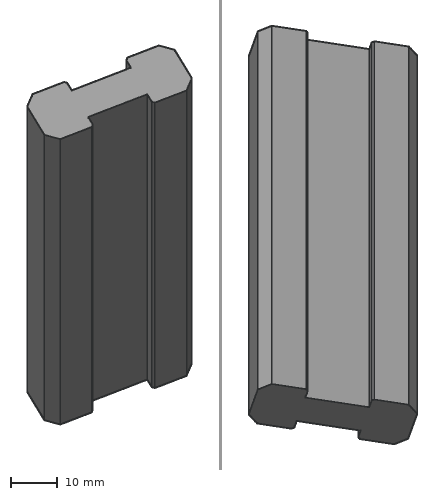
import cadquery as cq

width = 13.5
depth = 35.0
length = 100.0

edge_chamfer = 2.5
web_thickness = 8.0
groove_width = 14.0
mouth_chamfer = 0.5


def make_bar():
    """Upright bar with its four long outer edges chamfered."""
    return cq.Workplane("XY").box(width, depth, length).edges("|Z").chamfer(edge_chamfer)


def make_groove(side):
    """Full-length groove with a flared mouth in the -X (side=-1) or +X (side=1) face."""
    face_x = side * width / 2
    floor_x = side * web_thickness / 2
    flare_x = face_x - side * mouth_chamfer
    wall_y = groove_width / 2
    mouth_y = wall_y + mouth_chamfer
    section = [
        (floor_x, -wall_y),
        (flare_x, -wall_y),
        (face_x, -mouth_y),
        (face_x, mouth_y),
        (flare_x, wall_y),
        (floor_x, wall_y),
    ]
    return cq.Workplane("XY").polyline(section).close().extrude(length / 2, both=True)


result = make_bar()
for side in (-1, 1):
    result = result.cut(make_groove(side))